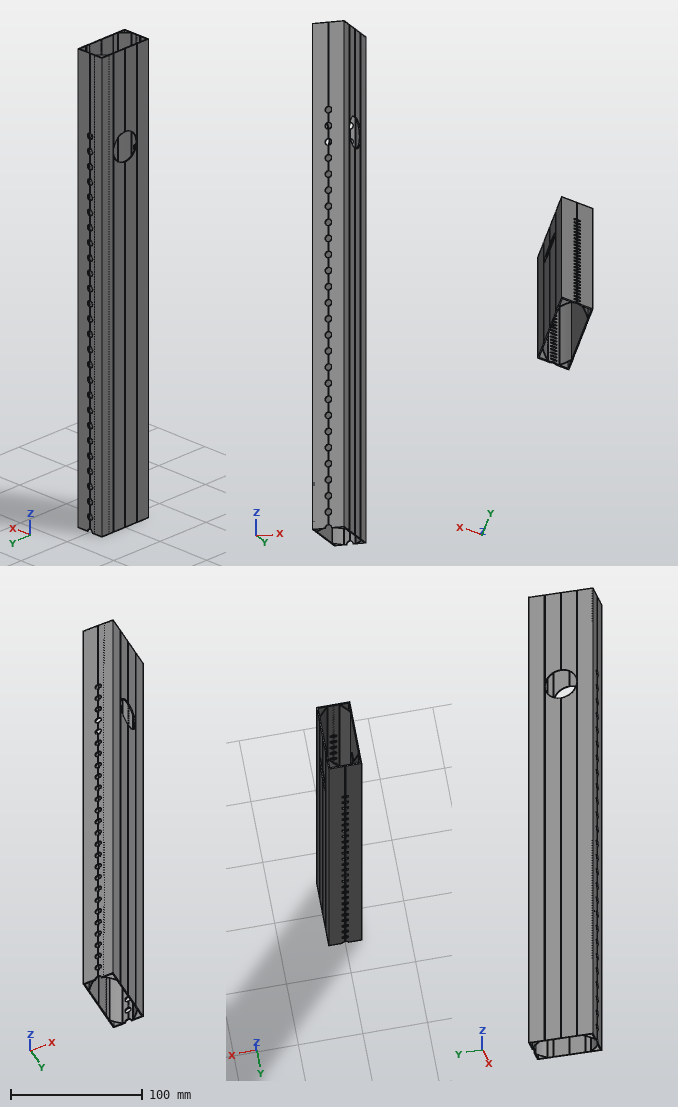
import cadquery as cq
import math

width = 25.5
depth = 50.7
length = 399.5
wall = 1.0

web_reach = 7.5
web_leg_thickness = 0.8
web_bow = 0.5
channel_reach = web_reach - web_leg_thickness

groove_width = 0.8
groove_depth = 0.2
side_groove_spacing = depth / 4

hole_diameter = 5.0
hole_count = 27
lowest_hole_z = 0.0
highest_hole_z = 330.5
hole_pitch = (highest_hole_z - lowest_hole_z) / (hole_count - 1)

cross_hole_diameter = 25.0
cross_hole_z = highest_hole_z - hole_pitch

inner_half_width = width / 2 - wall
inner_half_depth = depth / 2 - wall


def box_column(size_x, size_y):
    """Upright bar of the full tube length, centred on the Z axis."""
    return cq.Workplane("XY").rect(size_x, size_y).extrude(length)


def corner_prism(sign_x, sign_y, reach):
    """Prism filling one inner corner, with legs of the given reach and a web side bowed into the corner."""
    corner_x = sign_x * inner_half_width
    corner_y = sign_y * inner_half_depth
    mid_offset = reach / 2 - web_bow / math.sqrt(2)
    web_middle = (corner_x - sign_x * mid_offset, corner_y - sign_y * mid_offset)
    web_end = (corner_x, corner_y - sign_y * reach)
    return (
        cq.Workplane("XY")
        .moveTo(corner_x, corner_y)
        .lineTo(corner_x - sign_x * reach, corner_y)
        .threePointArc(web_middle, web_end)
        .close()
        .extrude(length)
    )


def through_hole(plane, z, diameter, span):
    """Round cutter through both opposite walls at height z."""
    return cq.Workplane(plane).center(0, z).circle(diameter / 2).extrude(span / 2, both=True)


def groove(x, y, size_x, size_y):
    """Full-length groove cutter centred on a point of an outer face."""
    return box_column(size_x, size_y).translate((x, y, 0))


bore = box_column(2 * inner_half_width, 2 * inner_half_depth)
channels = []
for sign_x in (-1, 1):
    for sign_y in (-1, 1):
        bore = bore.cut(corner_prism(sign_x, sign_y, web_reach))
        channels.append(corner_prism(sign_x, sign_y, channel_reach))
result = box_column(width, depth).cut(bore)
for channel in channels:
    result = result.cut(channel)

for sign in (-1, 1):
    result = result.cut(groove(0, sign * depth / 2, groove_width, 2 * groove_depth))
    for step in (-1, 0, 1):
        groove_y = step * side_groove_spacing
        result = result.cut(groove(sign * width / 2, groove_y, 2 * groove_depth, groove_width))

for index in range(hole_count):
    hole_z = lowest_hole_z + index * hole_pitch
    result = result.cut(through_hole("XZ", hole_z, hole_diameter, 2 * depth))
result = result.cut(through_hole("YZ", cross_hole_z, cross_hole_diameter, 2 * width))